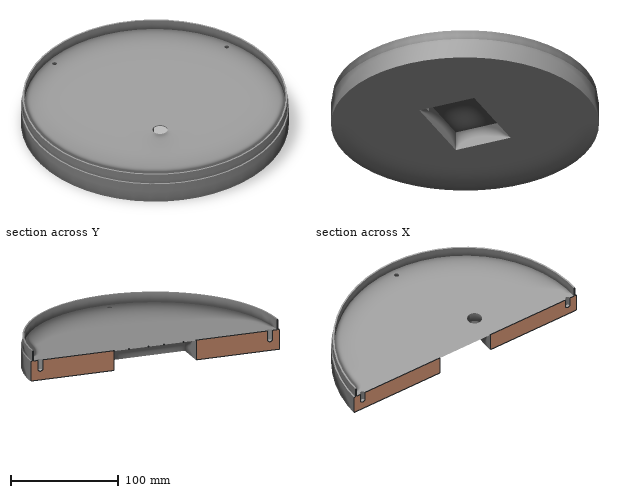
import cadquery as cq

base_diameter = 250.0
base_height = 20.0
lip_outer_diameter = 247.0
lip_inner_diameter = 244.0
lip_height = 10.0

pocket_length = 82.0
pocket_width = 56.0
pocket_roof = 1.0

cable_hole_diameter = 14.0
cable_hole_depth = 10.0
cable_hole_x = 26.0
cable_hole_y = -pocket_width / 2

screw_hole_count = 4
screw_hole_diameter = 4.5
screw_hole_depth = 10.0
screw_hole_tip = 1.2
screw_circle_radius = 115.0


def stepped_disc():
    base = cq.Workplane("XY").circle(base_diameter / 2).extrude(base_height)
    lip = (
        cq.Workplane("XY", origin=(0, 0, base_height))
        .circle(lip_outer_diameter / 2)
        .circle(lip_inner_diameter / 2)
        .extrude(lip_height)
    )
    return base.union(lip)


def underside_pocket():
    return cq.Workplane("XY").rect(pocket_length, pocket_width).extrude(base_height - pocket_roof)


def cable_hole():
    """Blind beside the pocket; the other half opens into the pocket."""
    return (
        cq.Workplane("XY", origin=(cable_hole_x, cable_hole_y, base_height))
        .circle(cable_hole_diameter / 2)
        .extrude(-cable_hole_depth)
    )


def screw_hole():
    """Straight bore ending in a cone, hanging from the top face on the disc's axis."""
    radius = screw_hole_diameter / 2
    bore_end = base_height - screw_hole_depth
    return (
        cq.Workplane("XZ")
        .moveTo(0, base_height)
        .lineTo(radius, base_height)
        .lineTo(radius, bore_end)
        .lineTo(0, bore_end - screw_hole_tip)
        .close()
        .revolve(360, (0, 0, 0), (0, 1, 0))
    )


result = stepped_disc().cut(underside_pocket()).cut(cable_hole())

for index in range(screw_hole_count):
    angle = index * 360 / screw_hole_count
    placed_hole = screw_hole().translate((screw_circle_radius, 0, 0)).rotate((0, 0, 0), (0, 0, 1), angle)
    result = result.cut(placed_hole)